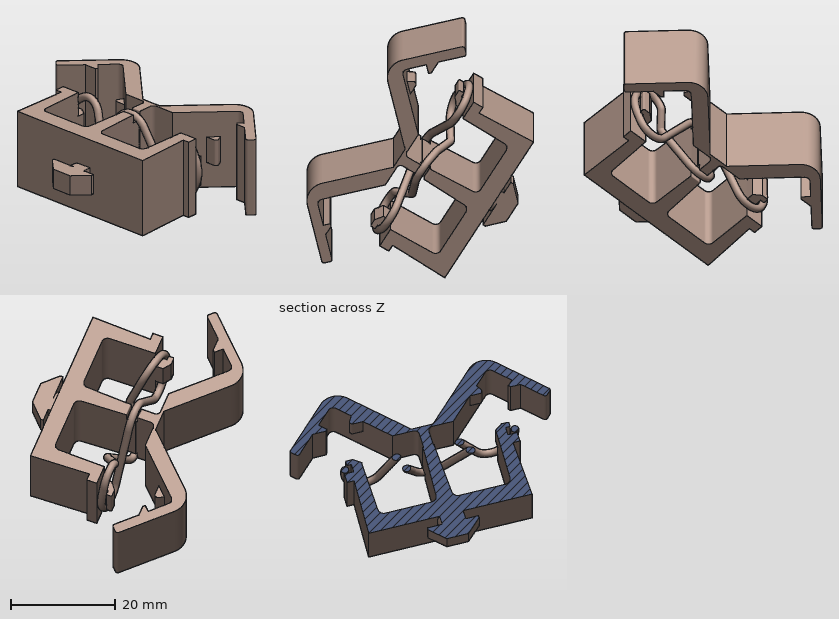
import cadquery as cq
import math

height = 16.0

base_half_width = 16.3
wall_outer_x = 15.87
wall_inner_x = 13.3
wall_inner_root_x = 13.1
floor_y = 3.58
post_end_y = 14.06
ledge_half_width = 17.25
ledge_y = 12.0
post_half_width = 1.2
post_root_half_width = 1.66
post_top_y = 15.7
pocket_radius = 1.15

neck_half_width = 1.02
neck_radius = 0.85
web_under_y = 19.65
web_over_y = 20.24
arm_inner_foot_x = 6.05
arm_outer_foot_x = 2.15
clip_inner_peak_x = 15.6
clip_outer_peak_x = 14.78
clip_inner_radius = 1.0
clip_outer_radius = 3.8
clip_tip_x = 26.07
clip_tip_radius = 0.5
tooth_start_x = {"right": 19.3, "left": 19.0}
tooth_end_x = 20.7
tooth_point_y = 24.53
tooth_blunt = 0.35

nub_height = 5.4
hook_height = 6.0
nub_base_x = (10.65, 12.54)
nub_nose_x = 13.25
nub_nose_y = 24.85
nub_radius = 0.35
hook_stem_x = 15.4
hook_lip_y = 15.64
hook_top_y = 16.75
hook_ramp_x = 14.8
hook_radius = 0.25

seat_half_width = 1.04
seat_depth = 1.7
seat_edge_radius = 0.22

lock_thickness = 4.1
stem_half_width = 2.6
stem_length = 1.75
stem_corner_radius = 2.5
head_half_width = 5.1
head_rim = 0.55
head_end_y = -5.18
head_end_half_width = 2.15

wire_diameter = 1.52
wire_y = 14.93


def prism(points, depth):
    """Extrude an XY outline symmetrically about Z = 0."""
    return cq.Workplane("XY").polyline(points).close().extrude(depth / 2, both=True)


def both_sides(half):
    """Join a +X half with its mirror image."""
    return half.union(half.mirror("YZ"))


def round_edges(solid, corners, radius):
    """Fillet the Z-parallel edges that pass through the given XY corners."""
    for x, y in corners:
        edge = cq.selectors.NearestToPointSelector((x, y, 0))
        solid = solid.edges("|Z").edges(edge).fillet(radius)
    return solid


def make_base():
    floor_inner = (post_root_half_width, floor_y)
    floor_outer = (wall_inner_root_x, floor_y)
    half = prism([
        (0, 0),
        (base_half_width, 0),
        (wall_outer_x, ledge_y),
        (ledge_half_width, ledge_y),
        (ledge_half_width, post_end_y),
        (wall_inner_x, post_end_y),
        floor_outer,
        floor_inner,
        (post_half_width, post_end_y),
        (post_half_width, post_top_y),
        (0, post_top_y),
    ], height)
    return both_sides(round_edges(half, [floor_inner, floor_outer], pocket_radius))


def make_half_clip(tooth_x):
    """+X half of the clip pair, with its snap tooth starting at tooth_x."""
    inner_rise = web_under_y - arm_inner_foot_x
    outer_rise = web_over_y - arm_outer_foot_x
    inner_peak = (clip_inner_peak_x, clip_inner_peak_x + inner_rise)
    outer_peak = (clip_outer_peak_x, clip_outer_peak_x + outer_rise)
    inner_sum = sum(inner_peak)
    outer_sum = sum(outer_peak)
    half_arm = (outer_sum - inner_sum) / 2
    tip_outer = (clip_tip_x, outer_sum - clip_tip_x)
    tip_inner = (tip_outer[0] - half_arm, tip_outer[1] - half_arm)
    tooth_root = (tooth_x, inner_sum - tooth_x)
    tooth_point = (tooth_x - tooth_root[1] + tooth_point_y, tooth_point_y)
    tooth_under_y = inner_sum - tooth_end_x
    neck_corner = (neck_half_width, web_under_y)
    half = prism([
        (0, post_top_y),
        (neck_half_width, post_top_y),
        neck_corner,
        (arm_inner_foot_x, web_under_y),
        inner_peak,
        tooth_root,
        tooth_point,
        (tooth_point[0] + tooth_blunt, tooth_under_y),
        (tooth_end_x, tooth_under_y),
        tip_inner,
        tip_outer,
        outer_peak,
        (arm_outer_foot_x, web_over_y),
        (0, web_over_y),
    ], height)
    half = round_edges(half, [neck_corner], neck_radius)
    half = round_edges(half, [inner_peak], clip_inner_radius)
    half = round_edges(half, [outer_peak], clip_outer_radius)
    return round_edges(half, [tip_inner, tip_outer], clip_tip_radius)


def make_clips():
    right = make_half_clip(tooth_start_x["right"])
    left = make_half_clip(tooth_start_x["left"]).mirror("YZ")
    return right.union(left)


def make_nubs():
    rise = web_under_y - arm_inner_foot_x
    near_x, far_x = nub_base_x
    under_y = near_x + rise
    nose = (nub_nose_x, nub_nose_y)
    heel = (nub_nose_x - nub_radius, under_y)
    root = clip_inner_radius / 2
    half = prism([
        (near_x, under_y),
        heel,
        nose,
        (far_x, far_x + rise),
        (far_x - root, far_x + rise + root),
        (near_x - root, under_y + root),
    ], nub_height)
    return both_sides(round_edges(half, [heel, nose], nub_radius))


def make_hooks():
    top_corner = (base_half_width, hook_top_y)
    lip_corner = (base_half_width, hook_lip_y)
    half = prism([
        (wall_inner_x, ledge_y),
        (hook_stem_x, ledge_y),
        (hook_stem_x, hook_lip_y),
        lip_corner,
        top_corner,
        (hook_ramp_x, hook_top_y),
        (wall_inner_x, hook_lip_y),
    ], hook_height)
    return both_sides(round_edges(half, [top_corner, lip_corner], hook_radius))


def make_wire_seats():
    """Cutters for the grooves, each flaring over a rounded mouth edge."""
    floor_z = height / 2 - seat_depth
    mouth_z = height / 2
    mouth = seat_half_width + seat_edge_radius
    side_z = mouth_z - seat_edge_radius
    low = wire_y - seat_half_width
    high = wire_y + seat_half_width
    upper = (
        cq.Workplane("YZ")
        .moveTo(low, floor_z)
        .lineTo(high, floor_z)
        .lineTo(high, side_z)
        .radiusArc((wire_y + mouth, mouth_z), seat_edge_radius)
        .lineTo(wire_y - mouth, mouth_z)
        .radiusArc((low, side_z), seat_edge_radius)
        .close()
        .extrude(post_root_half_width, both=True)
    )
    return upper.union(upper.mirror("XY"))


def make_lock():
    half_thick = lock_thickness / 2
    stem = (
        cq.Workplane("XZ")
        .rect(2 * stem_half_width, lock_thickness)
        .extrude(stem_length)
    )
    for x, z in [(-stem_half_width, half_thick), (stem_half_width, -half_thick)]:
        corner = cq.selectors.NearestToPointSelector((x, -stem_length / 2, z))
        stem = stem.edges("|Y").edges(corner).fillet(stem_corner_radius)
    half_head = prism([
        (0, -stem_length),
        (head_half_width, -stem_length),
        (head_half_width, -stem_length - head_rim),
        (head_end_half_width, head_end_y),
        (0, head_end_y),
    ], lock_thickness)
    return stem.union(both_sides(half_head))


def round_bar(edges):
    """Sweep the wire's round section along a chain of edges."""
    start_plane = cq.Plane(origin=edges[0].startPoint(), normal=edges[0].tangentAt(0))
    path = cq.Workplane(cq.Wire.assembleEdges(edges))
    section = cq.Workplane(start_plane).circle(wire_diameter / 2)
    return section.sweep(path, transition="transformed")


def make_wire():
    """Closed wire: straight runs between corners, each corner rounded to its bend radius."""
    bends = [
        ((-0.2, wire_y, 10.4), 3.75),
        ((-13.36, wire_y, -9.24), 3.5),
        ((-19.35, wire_y, 2.6), 8.15),
        ((-9.15, 14.5, 9.3), 3.6),
        ((-5.35, 11.95, 0.9), 0.8),
        ((-3.7, 14.1, -4.0), 2.0),
        ((-0.1, 16.25, -11.0), 3.05),
        ((7.9, 12.5, 1.5), 0.8),
        ((10.0, wire_y, 4.1), 0.8),
        ((12.9, wire_y, 10.3), 3.15),
        ((17.83, wire_y, 0.3), 6.5),
        ((12.6, wire_y, -9.3), 3.5),
    ]
    corners = [cq.Vector(*point) for point, _ in bends]
    arcs = []
    for i, (_, radius) in enumerate(bends):
        corner = corners[i]
        to_last = (corners[i - 1] - corner).normalized()
        to_next = (corners[(i + 1) % len(corners)] - corner).normalized()
        half_angle = to_last.getAngle(to_next) / 2
        setback = radius / math.tan(half_angle)
        bisector = (to_last + to_next).normalized()
        middle = corner + bisector * (radius / math.sin(half_angle) - radius)
        arcs.append((corner + to_last * setback, middle, corner + to_next * setback))
    bent_edges = [cq.Edge.makeThreePointArc(*arcs[0])]
    for i, arc in enumerate(arcs[1:]):
        bent_edges.append(cq.Edge.makeLine(arcs[i][2], arc[0]))
        bent_edges.append(cq.Edge.makeThreePointArc(*arc))
    closing_run = cq.Edge.makeLine(arcs[-1][2], arcs[0][0])
    return round_bar(bent_edges).union(round_bar([closing_run]))


body = make_base().union(make_clips()).union(make_nubs()).union(make_hooks())
body = body.cut(make_wire_seats()).union(make_lock())
result = body.union(make_wire())